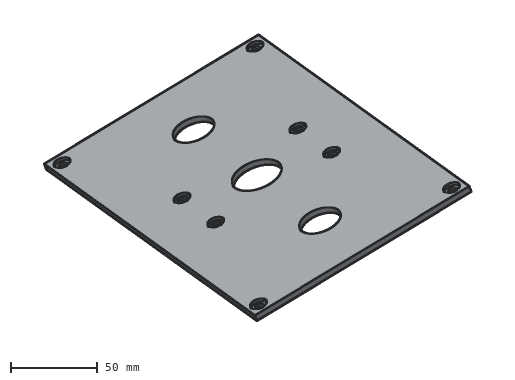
import cadquery as cq

plate_length = 250.0
plate_width = 150.0
plate_thickness = 4.0
tilt_angle = 20.0

centre_hole_diameter = 30.0
side_hole_diameter = 25.0
side_hole_offset = 75.0

counterbore_diameter = 10.0
counterbore_depth = 2.0
corner_screw_diameter = 5.2
corner_inset_x = 8.5
corner_inset_y = 7.5
inner_screw_diameter = 6.0
inner_screw_spacing_x = 40.0
inner_screw_spacing_y = 81.0


def add_screw_holes(plate, spacing_x, spacing_y, screw_diameter):
    """Cut four counterbored holes in a rectangle centred on the top face."""
    return (
        plate.faces(">Z")
        .workplane(origin=(0, 0, plate_thickness))
        .rect(spacing_x, spacing_y, forConstruction=True)
        .vertices()
        .cboreHole(screw_diameter, counterbore_diameter, counterbore_depth)
    )


def add_large_hole(plate, x, diameter):
    """Cut one through hole on the long centre line."""
    return plate.faces(">Z").workplane(origin=(x, 0, plate_thickness)).hole(diameter)


plate = cq.Workplane("XY").box(
    plate_length, plate_width, plate_thickness, centered=(True, True, False)
)

plate = add_large_hole(plate, 0, centre_hole_diameter)
for x in (-side_hole_offset, side_hole_offset):
    plate = add_large_hole(plate, x, side_hole_diameter)

corner_spacing_x = plate_length - 2 * corner_inset_x
corner_spacing_y = plate_width - 2 * corner_inset_y
plate = add_screw_holes(plate, corner_spacing_x, corner_spacing_y, corner_screw_diameter)
plate = add_screw_holes(plate, inner_screw_spacing_x, inner_screw_spacing_y, inner_screw_diameter)

result = plate.rotate((0, 0, 0), (1, 0, 0), tilt_angle)